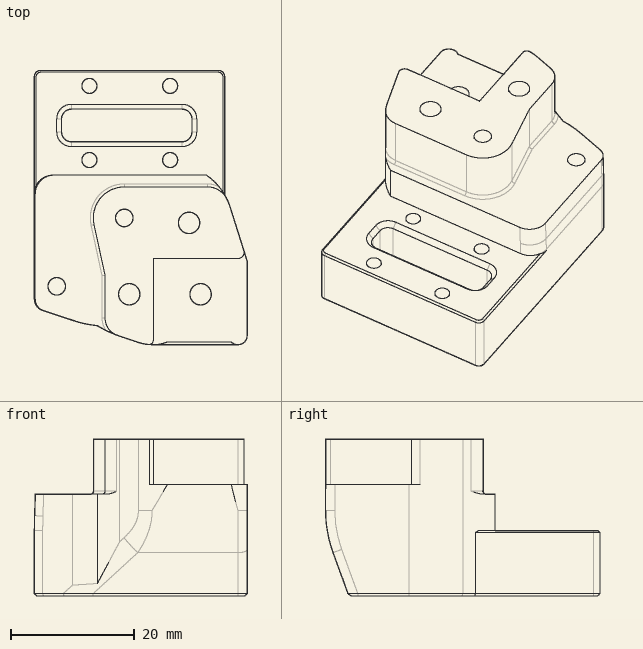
import cadquery as cq
import math

TOTAL_LENGTH = 44.4
TOTAL_WIDTH = 34.45
TOTAL_HEIGHT = 25.4

PLATE_WIDTH = 30.83
PLATE_TOP = 10.55
PLATE_CORNER_RADIUS = 1.0
PLATE_CHAMFER = 0.3
PLATE_HOLE_DIAMETER = 2.4
PLATE_HOLE_SPACING_X = 13.05
PLATE_HOLE_SPACING_Y = 12.0
PLATE_HOLES_CENTER = (15.45, 35.9)

SLOT_LENGTH = 21.05
SLOT_WIDTH = 5.25
SLOT_CORNER_RADIUS = 1.55
SLOT_CHAMFER = 0.8
SLOT_CENTER = (14.95, 35.5)

DECK_TOP = 16.5
BLOCK_BACK = 27.45
BLOCK_REAR_RADIUS = 3.0
BEVEL_ANGLE = 18.5
BEVEL_START_X = 17.95
BEVEL_RADIUS = 7.0
LEFT_CORNER_RADIUS = 2.0
RIGHT_CORNER_RADIUS = 1.5
RIGHT_SIDE_KINK_Y = 13.55
RIGHT_SIDE_LEAN_ANGLE = 17.5
RIGHT_SIDE_ARC_Y = 22.2
RIGHT_SIDE_ARC_RADIUS = 10.0

FRONT_ARC_TOP = 13.85
FRONT_ARC_RADIUS = 20.0
FRONT_SLOPE_ANGLE = 20.0

LEFT_LEAN_ANGLE = 2.0
LEFT_LEAN_ARC_TOP = 13.0

HOLLOW_LEFT_X = 6.17
HOLLOW_RIGHT_X = 13.75
HOLLOW_CREASE = (10.2, 3.05)
HOLLOW_RADIUS = 18.65

PILLAR_LEFT = 11.45
PILLAR_BACK = 25.55
PILLAR_REAR_LEFT_RADIUS = 5.0
PILLAR_REAR_LEFT_CENTER_X = 14.55
PILLAR_REAR_RIGHT_RADIUS = 3.5
PILLAR_FRONT_RADIUS = 3.0
PILLAR_FRONT_CORNER_Y = 2.3
PILLAR_FRONT_ANGLE = 22.0
PILLAR_KINK_Y = 11.25
PILLAR_LEAN_ANGLE = 12.2
PILLAR_FOOT_RADIUS = 0.5

NOTCH_FLOOR = 18.1
NOTCH_LEFT = 19.3
NOTCH_BACK = 13.95
NOTCH_FRONT_EDGE_RADIUS = 0.8
NOTCH_SIDE_EDGE_RADIUS = 1.0

BOTTOM_CHAMFER = 0.4

SMALL_HOLE_DIAMETER = 2.8
SMALL_HOLES = [(14.55, 20.5), (3.65, 9.45)]
LARGE_HOLE_DIAMETER = 3.4
LARGE_HOLES = [(25.05, 19.72), (15.35, 8.17), (26.9, 8.17)]

MARGIN = 4.45
PICK_REACH = 0.15


def slope(angle):
    return math.tan(math.radians(angle))


def bevel_y(x):
    """Y of the bevelled front-left wall at a given X."""
    return (BEVEL_START_X - x) * slope(BEVEL_ANGLE)


def right_side_x(y):
    """X of the right side, straight or curved, at a given Y behind its kink."""
    lean = math.radians(RIGHT_SIDE_LEAN_ANGLE)
    if y <= RIGHT_SIDE_ARC_Y:
        return TOTAL_WIDTH - (y - RIGHT_SIDE_KINK_Y) * math.tan(lean)
    center_x = right_side_x(RIGHT_SIDE_ARC_Y) - RIGHT_SIDE_ARC_RADIUS * math.cos(lean)
    center_y = RIGHT_SIDE_ARC_Y - RIGHT_SIDE_ARC_RADIUS * math.sin(lean)
    return center_x + math.sqrt(RIGHT_SIDE_ARC_RADIUS**2 - (y - center_y) ** 2)


def right_side_point(y):
    return (right_side_x(y), y)


def vertical_edge(x, y):
    """Selector for edges whose centre lies on the vertical line at (x, y)."""
    return cq.selectors.BoxSelector(
        (x - PICK_REACH, y - PICK_REACH, -MARGIN),
        (x + PICK_REACH, y + PICK_REACH, TOTAL_HEIGHT + MARGIN),
    )


def make_plate():
    """Rear plate, reaching forward into the front block."""
    plate_front = BLOCK_BACK / 2
    plate = (
        cq.Workplane("XY")
        .moveTo(0, plate_front)
        .lineTo(PLATE_WIDTH, plate_front)
        .lineTo(PLATE_WIDTH, TOTAL_LENGTH)
        .lineTo(0, TOTAL_LENGTH)
        .close()
        .extrude(PLATE_TOP)
    )
    plate = plate.edges("|Z and >Y").fillet(PLATE_CORNER_RADIUS)
    return plate.faces(">Z").edges("not(<Y)").chamfer(PLATE_CHAMFER)


def front_undercut():
    """Material removed in front of the curved and sloping front face."""
    arc_bottom = FRONT_ARC_TOP - FRONT_ARC_RADIUS * math.sin(math.radians(FRONT_SLOPE_ANGLE))
    arc_setback = FRONT_ARC_RADIUS * (1 - math.cos(math.radians(FRONT_SLOPE_ANGLE)))
    slope_setback = arc_setback + (arc_bottom + MARGIN) * slope(FRONT_SLOPE_ANGLE)
    return (
        cq.Workplane("YZ", origin=(-MARGIN, 0, 0))
        .moveTo(0, FRONT_ARC_TOP)
        .radiusArc((arc_setback, arc_bottom), -FRONT_ARC_RADIUS)
        .lineTo(slope_setback, -MARGIN)
        .lineTo(-MARGIN, -MARGIN)
        .lineTo(-MARGIN, FRONT_ARC_TOP)
        .close()
        .extrude(TOTAL_WIDTH + 2 * MARGIN)
    )


def left_lean_cut():
    """Sliver removed where the left wall curves and leans inwards."""
    angle = math.radians(LEFT_LEAN_ANGLE)
    arc_radius = (LEFT_LEAN_ARC_TOP - PLATE_TOP) / math.sin(angle)
    arc_setback = arc_radius * (1 - math.cos(angle))
    top_setback = arc_setback + (TOTAL_HEIGHT - LEFT_LEAN_ARC_TOP) * slope(LEFT_LEAN_ANGLE)
    return (
        cq.Workplane("XZ", origin=(0, TOTAL_LENGTH, 0))
        .moveTo(0, PLATE_TOP)
        .radiusArc((arc_setback, LEFT_LEAN_ARC_TOP), arc_radius)
        .lineTo(top_setback, TOTAL_HEIGHT)
        .lineTo(-MARGIN, TOTAL_HEIGHT)
        .lineTo(-MARGIN, PLATE_TOP)
        .close()
        .extrude(TOTAL_LENGTH + MARGIN)
    )


def bevel_hollow():
    """Cutter for the hollow in the bevelled wall."""
    left = (HOLLOW_LEFT_X, bevel_y(HOLLOW_LEFT_X))
    right = (HOLLOW_RIGHT_X, bevel_y(HOLLOW_RIGHT_X))
    return (
        cq.Workplane("XY", origin=(0, 0, -MARGIN))
        .moveTo(*left)
        .radiusArc(HOLLOW_CREASE, -HOLLOW_RADIUS)
        .radiusArc(right, -HOLLOW_RADIUS)
        .lineTo(HOLLOW_RIGHT_X, -MARGIN)
        .lineTo(HOLLOW_LEFT_X, -MARGIN)
        .close()
        .extrude(TOTAL_HEIGHT + 2 * MARGIN)
    )


def make_block():
    """Full-height front block with its rounded corners and shaped walls."""
    block = (
        cq.Workplane("XY")
        .moveTo(0, bevel_y(0))
        .lineTo(BEVEL_START_X, 0)
        .lineTo(TOTAL_WIDTH, 0)
        .lineTo(TOTAL_WIDTH, RIGHT_SIDE_KINK_Y)
        .lineTo(*right_side_point(RIGHT_SIDE_ARC_Y))
        .radiusArc(right_side_point(BLOCK_BACK), -RIGHT_SIDE_ARC_RADIUS)
        .lineTo(0, BLOCK_BACK)
        .close()
        .extrude(TOTAL_HEIGHT)
        .cut(left_lean_cut())
        .cut(front_undercut())
    )
    block = block.edges(vertical_edge(BEVEL_START_X, 0)).fillet(BEVEL_RADIUS)
    block = block.edges(vertical_edge(TOTAL_WIDTH, 0)).fillet(RIGHT_CORNER_RADIUS)
    block = block.edges(vertical_edge(0, BLOCK_BACK)).fillet(BLOCK_REAR_RADIUS)
    block = block.edges(vertical_edge(0, bevel_y(0))).fillet(LEFT_CORNER_RADIUS)
    return block.cut(bevel_hollow())


def deck_and_pillar():
    """Oversized deck slab carrying the pillar, with a rounded foot where they meet."""
    lean = math.radians(PILLAR_LEAN_ANGLE)
    lean_reach = PILLAR_REAR_LEFT_RADIUS / math.cos(lean)
    lean_x_at_back = (
        PILLAR_REAR_LEFT_CENTER_X - lean_reach - PILLAR_REAR_LEFT_RADIUS * math.tan(lean)
    )
    front_run = (PILLAR_FRONT_CORNER_Y + MARGIN) / slope(PILLAR_FRONT_ANGLE)
    pillar = (
        cq.Workplane("XY")
        .moveTo(PILLAR_LEFT, PILLAR_FRONT_CORNER_Y)
        .lineTo(PILLAR_LEFT + front_run, -MARGIN)
        .lineTo(*right_side_point(-MARGIN))
        .lineTo(*right_side_point(RIGHT_SIDE_ARC_Y))
        .radiusArc(right_side_point(PILLAR_BACK), -RIGHT_SIDE_ARC_RADIUS)
        .lineTo(lean_x_at_back, PILLAR_BACK)
        .lineTo(PILLAR_LEFT, PILLAR_KINK_Y)
        .close()
        .extrude(TOTAL_HEIGHT)
    )
    for x, y, radius in [
        (PILLAR_LEFT, PILLAR_FRONT_CORNER_Y, PILLAR_FRONT_RADIUS),
        (lean_x_at_back, PILLAR_BACK, PILLAR_REAR_LEFT_RADIUS),
        (right_side_x(PILLAR_BACK), PILLAR_BACK, PILLAR_REAR_RIGHT_RADIUS),
    ]:
        pillar = pillar.edges(vertical_edge(x, y)).fillet(radius)

    slab_size = 4 * TOTAL_LENGTH
    slab = cq.Workplane("XY").rect(slab_size, slab_size).extrude(DECK_TOP)
    foot = cq.selectors.BoxSelector(
        (-MARGIN, -2 * MARGIN, DECK_TOP - PICK_REACH),
        (TOTAL_LENGTH, TOTAL_LENGTH, DECK_TOP + PICK_REACH),
        boundingbox=True,
    )
    return slab.union(pillar).edges(foot).fillet(PILLAR_FOOT_RADIUS)


def cut_notch(body):
    """Cut the pillar notch and round its two outer vertical edges."""
    radius = NOTCH_FRONT_EDGE_RADIUS
    notch = (
        cq.Workplane("XY", origin=(0, 0, NOTCH_FLOOR))
        .moveTo(NOTCH_LEFT - radius, 0)
        .radiusArc((NOTCH_LEFT, radius), -radius)
        .lineTo(NOTCH_LEFT, NOTCH_BACK)
        .lineTo(TOTAL_WIDTH + MARGIN, NOTCH_BACK)
        .lineTo(TOTAL_WIDTH + MARGIN, -MARGIN)
        .lineTo(NOTCH_LEFT - radius, -MARGIN)
        .close()
        .extrude(TOTAL_HEIGHT)
    )
    body = body.cut(notch)
    side_edge = vertical_edge(right_side_x(NOTCH_BACK), NOTCH_BACK)
    return body.edges(side_edge).fillet(NOTCH_SIDE_EDGE_RADIUS)


def front_dish():
    """The front arc carried on above its upright point, between the two front corners."""
    arc_reach = math.sqrt(FRONT_ARC_RADIUS**2 - (NOTCH_FLOOR - FRONT_ARC_TOP) ** 2)
    setback = FRONT_ARC_RADIUS - arc_reach
    left_center_x = BEVEL_START_X + BEVEL_RADIUS * slope(BEVEL_ANGLE / 2)
    right_center_x = TOTAL_WIDTH - RIGHT_CORNER_RADIUS
    dish = (
        cq.Workplane("YZ", origin=(left_center_x, 0, 0))
        .moveTo(0, FRONT_ARC_TOP)
        .radiusArc((setback, NOTCH_FLOOR), FRONT_ARC_RADIUS)
        .lineTo(-MARGIN, NOTCH_FLOOR)
        .lineTo(-MARGIN, FRONT_ARC_TOP)
        .close()
        .extrude(right_center_x - left_center_x)
    )
    for center_x, radius in [
        (left_center_x, BEVEL_RADIUS),
        (right_center_x, RIGHT_CORNER_RADIUS),
    ]:
        corner = cq.Workplane("XY").center(center_x, radius).circle(radius).extrude(TOTAL_HEIGHT)
        dish = dish.cut(corner)
    return dish


def slot_cutter():
    """Round-cornered slot, widening at 45 degrees towards the plate top."""

    def slot_prism(growth, bottom):
        return (
            cq.Workplane("XY", origin=(*SLOT_CENTER, bottom))
            .rect(SLOT_LENGTH + 2 * growth, SLOT_WIDTH + 2 * growth)
            .extrude(PLATE_TOP - bottom)
            .edges("|Z")
            .fillet(SLOT_CORNER_RADIUS + growth)
        )

    mouth = slot_prism(SLOT_CHAMFER, 0).faces("<Z").chamfer(SLOT_CHAMFER)
    mouth = mouth.translate((0, 0, PLATE_TOP - SLOT_CHAMFER))
    return slot_prism(0, 0).union(mouth)


def round_holes(points, diameter):
    return cq.Workplane("XY").pushPoints(points).circle(diameter / 2).extrude(TOTAL_HEIGHT)


body = make_block().intersect(deck_and_pillar())
body = cut_notch(body).cut(front_dish())
body = body.union(make_plate())
body = body.faces("<Z").edges().chamfer(BOTTOM_CHAMFER)

plate_holes = [
    (
        PLATE_HOLES_CENTER[0] + side_x * PLATE_HOLE_SPACING_X / 2,
        PLATE_HOLES_CENTER[1] + side_y * PLATE_HOLE_SPACING_Y / 2,
    )
    for side_x in (-1, 1)
    for side_y in (-1, 1)
]
body = body.cut(round_holes(plate_holes, PLATE_HOLE_DIAMETER))
body = body.cut(round_holes(SMALL_HOLES, SMALL_HOLE_DIAMETER))
body = body.cut(round_holes(LARGE_HOLES, LARGE_HOLE_DIAMETER))
result = body.cut(slot_cutter())